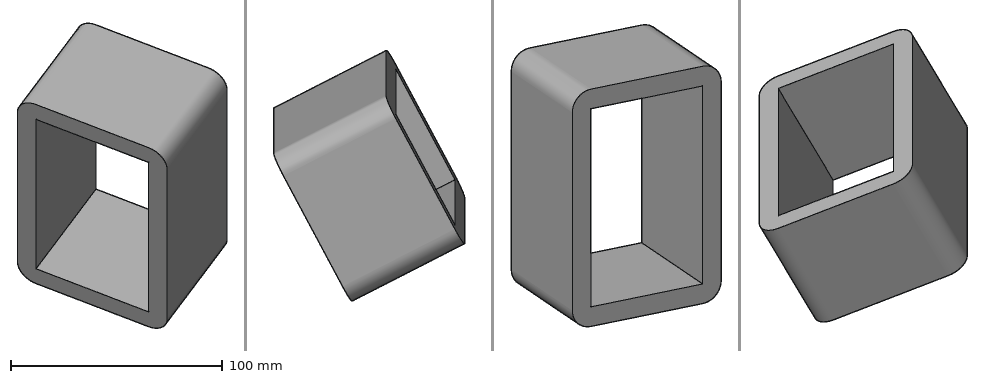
import cadquery as cq

width = 80.5
depth = 60.0
height = 121.0

wall = 10.0
corner_radius = wall

body = cq.Workplane("XY").box(width, depth, height).edges("|Y").fillet(corner_radius)

opening = cq.Workplane("XY").box(width - 2 * wall, depth, height - 2 * wall)

result = body.cut(opening)